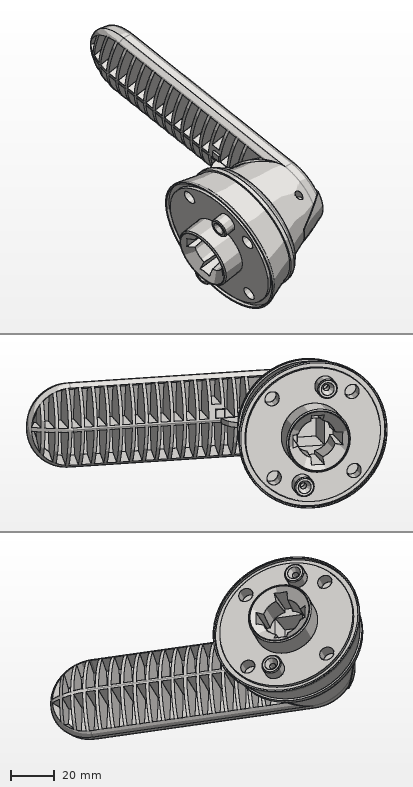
import cadquery as cq
import math


OVERALL_LENGTH = 158.9

BASE_DIAMETER = 69.5
BASE_RADIUS = BASE_DIAMETER / 2
RIM_HEIGHT = 1.0
COLLAR_BOTTOM = 14.8
BASE_TOP_RADIUS = 30.7
COLLAR_RADIUS = 31.6
COLLAR_CORNERS = ((31.5, 16.8), (30.7, 18.3), (29.2, 19.9))
NECK_BOTTOM = 21.5
NECK_RADIUS = 26.2
FACE_GROOVE_INNER = COLLAR_RADIUS
FACE_GROOVE_OUTER = 34.0
FACE_GROOVE_DEPTH = 1.6

LEVER_WIDTH = 39.9
LEVER_RADIUS = LEVER_WIDTH / 2
TIP_X = BASE_RADIUS + LEVER_RADIUS - OVERALL_LENGTH
WIDEST_Y = 42.5
UNDERSIDE_Y = 39.2
RIM_INNER_RADIUS = 18.3
RIM_ARC_POINT = (19.4, 40.5)
SHOULDER_RADIUS = 18.7
SHOULDER_Y = 46.5
CREST_Y = 50.7
DOME_EDGE_RADIUS = 16.8
DOME_EDGE_Y = 48.3
SHOULDER_ARC_POINT = (18.1, 47.7)
CAVITY_ROOF_RADIUS = 15.5
CAVITY_ROOF_EDGE_Y = 46.4
CAVITY_CREST_Y = 48.3
HALFWAY_RISE = 0.75

RIB_BELLY_Y = 33.5
RIB_THICKNESS = 1.6
RIB_COUNT = 17
FIRST_RIB_X = -117.7
LAST_RIB_X = -22.0
RIB_PITCH = (LAST_RIB_X - FIRST_RIB_X) / (RIB_COUNT - 1)
WEB_THICKNESS = 1.9

GUSSET_FOOT_Y = 30.3
GUSSET_REACH = 1.7
GUSSET_BEVEL = 1.5

TONGUE_RADIUS = 11.8
TONGUE_X = -23.4
TONGUE_THICKNESS = 2.4
PAD_RADIUS = 5.7
PAD_X = -22.1
PAD_Y = 28.1
PAD_SIDE_Z = 5.2
PAD_EDGE_FILLET = 0.8
BLOCK_LEFT_X = -40.2
BLOCK_RIGHT_X = -33.4
BLOCK_SIDE_Z = 7.5
CATCH_LEFT_X = -37.5
CATCH_BOTTOM_Y = 32.9

SOCKET_RADIUS = 15.0
SOCKET_LENGTH = 11.0
SOCKET_CHAMFER = 0.6
FUNNEL_RADIUS = 14.0
BORE_RADIUS = 9.0
FUNNEL_TOP_Y = -7.0
KEYWAY_WIDTH = 6.2
KEYWAY_REACH = 11.8
KEYWAY_TOP_Y = 4.5
KEYWAY_TAPER = 4.7
SQUARE_SIDE = 13.0
SQUARE_FLOOR_SIDE = 8.6
SQUARE_DEPTH = 8.0

HOLE_RADIUS = 3.3
HOLE_DEPTH = 6.4
HOLE_X = 18.3
HOLE_Z = 19.2
POST_RADIUS = 4.6
POST_LENGTH = 5.9
POST_CHAMFER = 0.5
POST_X = 5.4
POST_Z = 22.9
POST_MOUTH_RADIUS = 3.0
POST_BORE_RADIUS = 1.5
POST_FUNNEL_DEPTH = 2.4
POST_BORE_DEPTH = 6.4

PIN_HOLE_RADIUS = 1.7
PIN_HOLE_X = 14.0
PIN_HOLE_Y = 37.3
PIN_HOLE_FLOOR_Z = 12.7
POINTER_HEIGHT = 0.4
POINTER_TOP_HALF = 10.2
POINTER_BOTTOM_HALF = 4.1
POINTER_BOTTOM_Y = 31.5


def cylinder_y(radius, y_start, y_end, x=0, z=0):
    """Cylinder along Y between two heights."""
    plane = cq.Plane(origin=(x, y_start, z), xDir=(1, 0, 0), normal=(0, 1, 0))
    return cq.Workplane(plane).circle(radius).extrude(y_end - y_start)


def cone_y(radius_start, radius_end, y_start, y_end, x=0, z=0):
    """Truncated cone along Y between two heights."""
    return cq.Workplane(
        cq.Solid.makeCone(
            radius_start, radius_end, y_end - y_start, pnt=cq.Vector(x, y_start, z), dir=cq.Vector(0, 1, 0)
        )
    )


def box_between(x_range, y_range, z_range):
    """Axis-aligned box from its three ranges."""
    sizes = [end - start for start, end in (x_range, y_range, z_range)]
    return cq.Workplane("XY").box(*sizes, centered=False).translate((x_range[0], y_range[0], z_range[0]))


def disc_z(radius, x, y, z_start, z_end):
    """Disc whose axis is parallel to Z."""
    return cq.Workplane("XY", origin=(x, y, z_start)).circle(radius).extrude(z_end - z_start)


def neck_radius_at(height):
    """Radius of the hub neck, which narrows towards the lever."""
    slope = (NECK_RADIUS - LEVER_RADIUS) / (WIDEST_Y - NECK_BOTTOM)
    return NECK_RADIUS - (height - NECK_BOTTOM) * slope


def stadium(draw_profile):
    """Sweep a half section (radius, height) around the stadium plan of the lever."""
    end = draw_profile(cq.Workplane("XY")).revolve(360, (0, 0, 0), (0, 1, 0))
    section_plane = cq.Plane(origin=(0, 0, 0), xDir=(0, 0, 1), normal=(-1, 0, 0))
    half = draw_profile(cq.Workplane(section_plane)).extrude(-TIP_X)
    straight = half.union(half.mirror("XY"))
    return straight.union(end).union(end.translate((TIP_X, 0, 0)))


def lever_profile(plane):
    """Outer half section of the lever: rounded rim, sloping side and shallow dome."""
    dome_rise = CREST_Y - DOME_EDGE_Y
    return (
        plane.moveTo(0, UNDERSIDE_Y)
        .lineTo(RIM_INNER_RADIUS, UNDERSIDE_Y)
        .threePointArc(RIM_ARC_POINT, (LEVER_RADIUS, WIDEST_Y))
        .lineTo(SHOULDER_RADIUS, SHOULDER_Y)
        .threePointArc(SHOULDER_ARC_POINT, (DOME_EDGE_RADIUS, DOME_EDGE_Y))
        .threePointArc((DOME_EDGE_RADIUS / 2, DOME_EDGE_Y + HALFWAY_RISE * dome_rise), (0, CREST_Y))
        .close()
    )


def cavity_profile(plane):
    """Half section of the hollow under the lever."""
    halfway_y = CAVITY_ROOF_EDGE_Y + HALFWAY_RISE * (CAVITY_CREST_Y - CAVITY_ROOF_EDGE_Y)
    return (
        plane.moveTo(0, UNDERSIDE_Y)
        .lineTo(RIM_INNER_RADIUS, UNDERSIDE_Y)
        .lineTo(CAVITY_ROOF_RADIUS, CAVITY_ROOF_EDGE_Y)
        .threePointArc((CAVITY_ROOF_RADIUS / 2, halfway_y), (0, CAVITY_CREST_Y))
        .close()
    )


def belly_profile(plane):
    """Half section of the bulge formed by the lower edges of the ribs."""
    drop = UNDERSIDE_Y - RIB_BELLY_Y
    return (
        plane.moveTo(0, UNDERSIDE_Y)
        .lineTo(RIM_INNER_RADIUS, UNDERSIDE_Y)
        .threePointArc((RIM_INNER_RADIUS / 2, UNDERSIDE_Y - HALFWAY_RISE * drop), (0, RIB_BELLY_Y))
        .close()
    )


def make_hub():
    """Base, collar and tapering neck as one solid of revolution."""
    outline = (
        cq.Workplane("XY")
        .moveTo(0, 0)
        .lineTo(BASE_RADIUS, 0)
        .lineTo(BASE_RADIUS, RIM_HEIGHT)
        .lineTo(BASE_TOP_RADIUS, COLLAR_BOTTOM)
        .lineTo(COLLAR_RADIUS, COLLAR_BOTTOM)
    )
    for radius, height in COLLAR_CORNERS:
        outline = outline.lineTo(radius, height)
    return (
        outline.lineTo(NECK_RADIUS, NECK_BOTTOM)
        .lineTo(LEVER_RADIUS, WIDEST_Y)
        .lineTo(0, WIDEST_Y)
        .close()
        .revolve(360, (0, 0, 0), (0, 1, 0))
    )


def make_ribs(filling):
    """Cross ribs and the lengthwise web, trimmed to the space they fill."""
    y_range = (NECK_BOTTOM, CREST_Y)
    z_range = (-LEVER_RADIUS, LEVER_RADIUS)
    grid = box_between((TIP_X - LEVER_RADIUS, 0), y_range, (-WEB_THICKNESS / 2, WEB_THICKNESS / 2))
    for index in range(RIB_COUNT):
        left = FIRST_RIB_X + index * RIB_PITCH - RIB_THICKNESS / 2
        grid = grid.union(box_between((left, left + RIB_THICKNESS), y_range, z_range))
    block = box_between((BLOCK_LEFT_X, BLOCK_RIGHT_X), y_range, (0, BLOCK_SIDE_Z))
    return grid.union(block).intersect(filling)


def make_gusset():
    """Bevelled strip around the neck, under the root of the lever."""
    foot_radius = neck_radius_at(GUSSET_FOOT_Y)
    rise = WIDEST_Y - GUSSET_FOOT_Y
    narrowing = foot_radius + GUSSET_REACH - LEVER_RADIUS
    grown = cone_y(
        LEVER_RADIUS + 2 * narrowing,
        LEVER_RADIUS - narrowing,
        WIDEST_Y - 2 * rise,
        WIDEST_Y + rise,
    )
    tilt = math.degrees(math.atan2(rise, foot_radius))
    far = 3 * BASE_RADIUS
    above_slope = box_between((-far, far), (0, far), (-far, far)).rotate((0, 0, 0), (0, 0, 1), tilt)
    strip = grown.intersect(above_slope.translate((0, WIDEST_Y, 0)))
    strip = strip.edges(cq.selectors.NearestToPointSelector((-foot_radius, GUSSET_FOOT_Y, 0)))
    lever_side = box_between((-far, 0), (0, WIDEST_Y), (-far, far))
    return strip.chamfer(GUSSET_BEVEL).intersect(lever_side)


def make_tongue():
    """Half-disc lock tongue with a rounded pad beside it and a small catch ahead of it."""
    half = TONGUE_THICKNESS / 2
    tongue_left = TONGUE_X - TONGUE_RADIUS
    lower_half = box_between((tongue_left, 0), (COLLAR_BOTTOM, RIB_BELLY_Y), (-half, PAD_SIDE_Z))
    disc = disc_z(TONGUE_RADIUS, TONGUE_X, RIB_BELLY_Y, -half, half)
    pad = disc_z(PAD_RADIUS, PAD_X, PAD_Y, half, PAD_SIDE_Z).faces(">Z").edges().fillet(PAD_EDGE_FILLET)
    catch = box_between((CATCH_LEFT_X, BLOCK_RIGHT_X), (CATCH_BOTTOM_Y, UNDERSIDE_Y), (half, PAD_SIDE_Z))
    return disc.union(pad).intersect(lower_half).union(catch)


def make_pointer():
    """Thin raised pointer on the side of the neck facing away from the lever."""
    skin = cone_y(
        NECK_RADIUS + POINTER_HEIGHT,
        neck_radius_at(DOME_EDGE_Y) + POINTER_HEIGHT,
        NECK_BOTTOM,
        DOME_EDGE_Y,
    )
    shape = (
        cq.Workplane(cq.Plane(origin=(0, 0, 0), xDir=(0, 0, -1), normal=(1, 0, 0)))
        .polyline(
            [
                (-POINTER_BOTTOM_HALF, POINTER_BOTTOM_Y),
                (POINTER_BOTTOM_HALF, POINTER_BOTTOM_Y),
                (POINTER_TOP_HALF, DOME_EDGE_Y),
                (-POINTER_TOP_HALF, DOME_EDGE_Y),
            ]
        )
        .close()
        .extrude(2 * LEVER_RADIUS)
    )
    return skin.intersect(shape)


def cut_base_face(body):
    """Ring groove and four blind holes in the mounting face."""
    groove = cylinder_y(FACE_GROOVE_OUTER, 0, FACE_GROOVE_DEPTH)
    body = body.cut(groove.cut(cylinder_y(FACE_GROOVE_INNER, 0, FACE_GROOVE_DEPTH)))
    hole = cylinder_y(HOLE_RADIUS, 0, HOLE_DEPTH, HOLE_X, HOLE_Z)
    for quarter in range(4):
        body = body.cut(hole.rotate((0, 0, 0), (0, 1, 0), 90 * quarter))
    return body


def add_screw_posts(body):
    """Two opposite posts, each with a funnel mouth leading into a blind bore."""
    for side in (1, -1):
        x = side * POST_X
        z = side * POST_Z
        post = cylinder_y(POST_RADIUS, -POST_LENGTH, 0, x, z).faces("<Y").chamfer(POST_CHAMFER)
        funnel_end = POST_FUNNEL_DEPTH - POST_LENGTH
        funnel = cone_y(POST_MOUTH_RADIUS, POST_BORE_RADIUS, -POST_LENGTH, funnel_end, x, z)
        bore = cylinder_y(POST_BORE_RADIUS, -POST_LENGTH, POST_BORE_DEPTH - POST_LENGTH, x, z)
        body = body.union(post).cut(funnel).cut(bore)
    return body


def add_drive_socket(body):
    """Round spigot with a tapered mouth, four keyways and a square seat at the bottom."""
    spigot = cylinder_y(SOCKET_RADIUS, -SOCKET_LENGTH, 0).faces("<Y").chamfer(SOCKET_CHAMFER)
    funnel = cone_y(FUNNEL_RADIUS, BORE_RADIUS, -SOCKET_LENGTH, FUNNEL_TOP_Y)
    bore = cylinder_y(BORE_RADIUS, -SOCKET_LENGTH, KEYWAY_TOP_Y)
    mouth_plane = cq.Plane(origin=(0, -SOCKET_LENGTH, 0), xDir=(1, 0, 0), normal=(0, 1, 0))
    keyways = (
        cq.Workplane(mouth_plane)
        .rect(2 * KEYWAY_REACH, KEYWAY_WIDTH)
        .extrude(SOCKET_LENGTH + KEYWAY_TOP_Y, taper=KEYWAY_TAPER)
    )
    keyways = keyways.union(keyways.rotate((0, 0, 0), (0, 1, 0), 90))
    seat_plane = cq.Plane(origin=(0, KEYWAY_TOP_Y, 0), xDir=(1, 0, 0), normal=(0, 1, 0))
    seat_taper = math.degrees(math.atan2((SQUARE_SIDE - SQUARE_FLOOR_SIDE) / 2, SQUARE_DEPTH))
    seat = cq.Workplane(seat_plane).rect(SQUARE_SIDE, SQUARE_SIDE).extrude(SQUARE_DEPTH, taper=seat_taper)
    return body.union(spigot).cut(funnel).cut(bore).cut(keyways).cut(seat)


def cut_pin_hole(body):
    """Blind hole in the +Z side of the neck."""
    mouth = PIN_HOLE_FLOOR_Z + LEVER_RADIUS
    return body.cut(disc_z(PIN_HOLE_RADIUS, PIN_HOLE_X, PIN_HOLE_Y, PIN_HOLE_FLOOR_Z, mouth))


hub = make_hub()
lever = stadium(lever_profile)
cavity = stadium(cavity_profile)
ribs = make_ribs(cavity.union(stadium(belly_profile)))
crown = cone_y(RIM_INNER_RADIUS, CAVITY_ROOF_RADIUS, WIDEST_Y, DOME_EDGE_Y)
body = lever.cut(cavity).union(ribs).union(hub).union(crown)
body = body.union(make_gusset()).union(make_tongue()).union(make_pointer())
body = add_drive_socket(add_screw_posts(cut_base_face(body)))
result = cut_pin_hole(body)